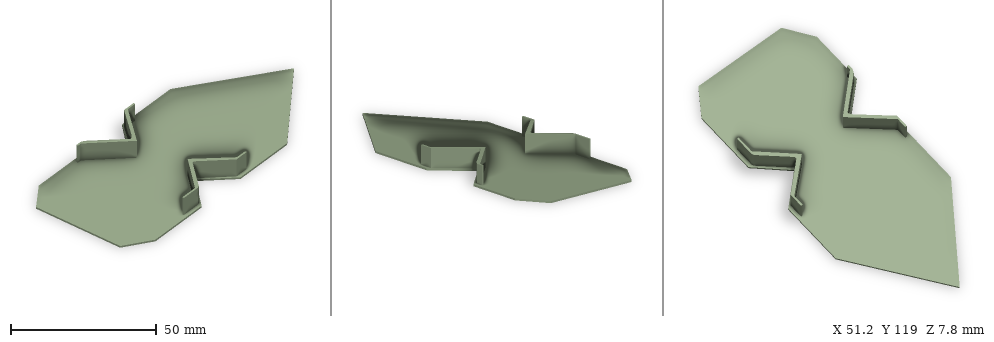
import cadquery as cq

plate_length = 119.0
plate_width = 51.2
plate_thickness = 0.7
base_width = 36.9
base_corner_y = 10.5
shoulder_y = 83.1

left_notch_top = 56.4
left_notch_tip = (-12.9, 44.1)
left_notch_bottom = 32.1
right_notch_top = 57.4
right_notch_tip = (14.3, 46.8)
right_notch_bottom = 35.9

wall_height = 7.1
tab_thickness = 0.7
tab_inset = 1.4

half_width = plate_width / 2
half_base = base_width / 2
tab_outer_x = half_width - tab_inset
tab_inner_x = tab_outer_x - tab_thickness


def make_plate():
    outline = [
        (-half_base, 0),
        (half_base, 0),
        (half_width, base_corner_y),
        (half_width, right_notch_bottom),
        right_notch_tip,
        (half_width, right_notch_top),
        (half_width, shoulder_y),
        (0, plate_length),
        (-half_width, shoulder_y),
        (-half_width, left_notch_top),
        left_notch_tip,
        (-half_width, left_notch_bottom),
        (-half_width, base_corner_y),
    ]
    return cq.Workplane("XY").polyline(outline).close().extrude(plate_thickness)


def make_wall(outline):
    """Raise a wall from the underside of the plate, so that it merges with it."""
    return cq.Workplane("XY").polyline(outline).close().extrude(plate_thickness + wall_height)


def make_left_wall():
    tab_top = 60.9
    tab_bottom = 29.4
    inner_bend_top = 56.9
    inner_tip = (-9.4, 44.3)
    inner_bend_bottom = 31.0
    outer_bend_top = 55.7
    outer_bend_bottom = 31.8
    chamfer_top = (-12.7, 45.6)
    blunt_tip_x = -11.9
    blunt_tip_top = 44.5
    blunt_tip_bottom = 43.8
    lower_chamfer_y = 33.1
    return make_wall([
        (-tab_inner_x, tab_top),
        (-tab_inner_x, inner_bend_top),
        inner_tip,
        (-tab_inner_x, inner_bend_bottom),
        (-tab_inner_x, tab_bottom),
        (-tab_outer_x, tab_bottom),
        (-tab_outer_x, outer_bend_bottom),
        (-tab_inner_x, lower_chamfer_y),
        (blunt_tip_x, blunt_tip_bottom),
        (blunt_tip_x, blunt_tip_top),
        chamfer_top,
        (-tab_outer_x, outer_bend_top),
        (-tab_outer_x, tab_top),
    ])


def make_right_wall():
    tab_top = 62.6
    tab_bottom = 28.0
    inner_bend_top = 58.1
    inner_tip = (10.8, 46.8)
    inner_bend_bottom = 35.0
    outer_bend_top = 57.0
    outer_bend_bottom = 35.7
    blunt_tip_x = 13.5
    blunt_tip_top = 47.0
    blunt_tip_bottom = 46.2
    lower_chamfer = (23.8, 36.7)
    return make_wall([
        (tab_inner_x, tab_top),
        (tab_inner_x, inner_bend_top),
        inner_tip,
        (tab_inner_x, inner_bend_bottom),
        (tab_inner_x, tab_bottom),
        (tab_outer_x, tab_bottom),
        (tab_outer_x, outer_bend_bottom),
        lower_chamfer,
        (blunt_tip_x, blunt_tip_bottom),
        (blunt_tip_x, blunt_tip_top),
        (tab_outer_x, outer_bend_top),
        (tab_outer_x, tab_top),
    ])


result = make_plate().union(make_left_wall()).union(make_right_wall())